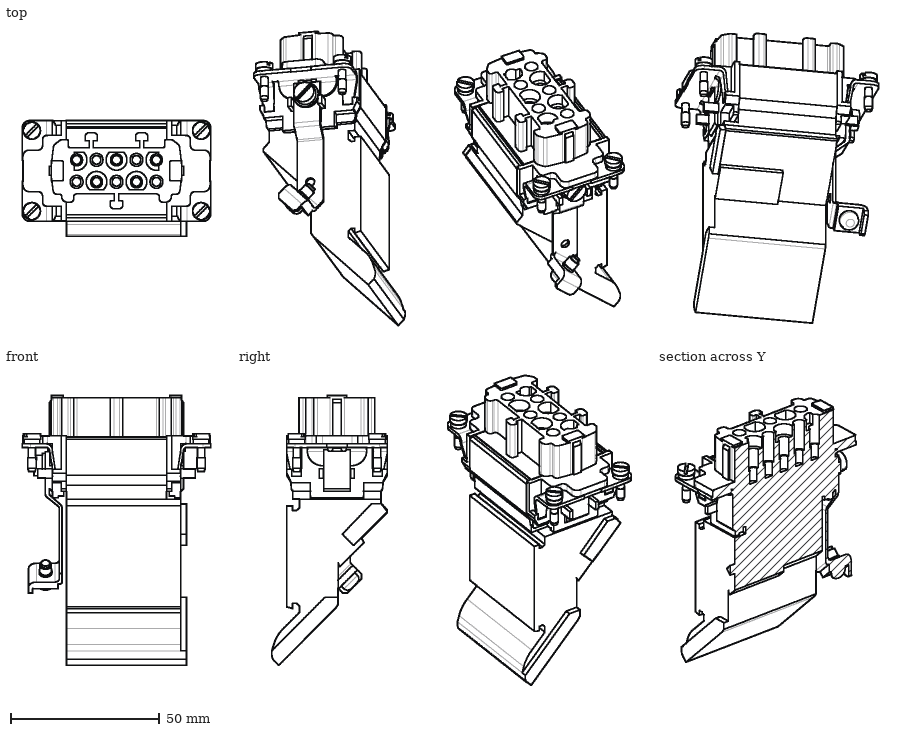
import cadquery as cq
import math


overall_length = 63.6
overall_width = 39.04
overall_height = 90.91
body_width = 34.0
top_z = 13.65
bottom_z = top_z - overall_height
half_length = overall_length / 2
half_width = body_width / 2

join_overlap = 1.0

insert_top = 12.9
insert_end_x = 21.9
insert_shoulder_x = 21.2
insert_flat_y = 7.75
insert_lobe_y = 10.55
insert_end_half_y = 2.5
notch_x = 16.2
insert_flat_x = 18.7
upper_shoulder_y = 8.6
insert_corner_round = 1.6
lower_shoulder_y = 7.9
lobe_outer_x = 18.5
lobe_inner_x = 14.4
tab_length = 4.0
tab_width = 6.7
tab_round = 0.5
end_rib_width = 3.0
end_rib_x = 22.6
end_rib_top = 12.3
end_rib_bevel = 0.7
end_rib_bevel_height = 1.2
t_key_x = 8.5
t_stem_width = 1.46
t_head_width = 4.15
t_head_inner_y = 10.1
t_head_outer_y = 12.8
t_head_round = 1.2
t_head_inner_round = 0.3

contact_pitch = 6.72
contact_row_y = 3.7
small_cavity_diameter = 4.35
large_cavity_diameter = 7.0
large_bore_diameter = 4.0
socket_bore_diameter = 2.92
large_cavity_depth = 4.0
cavity_depth = 11.0
bore_depth = 16.0
cavity_flat_y = 6.3
corner_cavity_flat_x = 14.2

center_half_x = 16.85
wall_half_x = 18.6
frame_half_x = 21.6
frame_half_width = half_width - 0.1
flange_half_x = 31.5
flange_thickness = 2.6
flange_nose_half_y = 7.0
flange_shoulder_x = 24.9
flange_shoulder_y = 12.0
flange_round = 1.5
flange_nose_round = 2.1
bevel_start_z = -13.3
bevel_end_y = 14.9
center_bevel_end_z = -16.6
side_bevel_y = 15.6
side_bevel_start_z = -12.6
side_bevel_end_z = -15.2
side_foot_y = 15.4
side_foot_z = -17.85
side_notch_top_z = -15.7
frame_bottom_z = -18.7
corner_pocket_bottom_z = -13.5
corner_rim_y = 15.3
corner_rim_z = -11.2
end_block_half_y = 9.0
end_block_bottom_z = -20.9
end_block_inner_x = 19.6
seat_chamfer = 0.9
foot_inner_x = 17.75
foot_bottom_z = -20.3
center_top = -0.2
top_step = 0.2
top_step_y = 14.8
rear_step_y = 14.3
rear_step_depth = 0.1
top_bevel_y = 1.2
top_bevel_z = 0.7

hood_end_x = 21.65
hood_plate_end_x = 23.6
hood_shoulder_z = -21.3
hood_groove_y = -12.7
hood_lip_y = -14.9
hood_back_y = 0.35
hood_point_y = -19.6
hood_tip_y = half_width - overall_width
lip_top_y = -21.98
lip_top_z = -72.4
lower_plate_top = -54.3
lip_bottom_y = -21.6
lip_bottom_z = -75.3
cable_tab_start_x = 0.0

bracket_top = -flange_thickness
bracket_thickness = 1.3
bracket_corner = 2.7
bracket_bend_x = 23.9
bracket_fold_x = 22.5
bracket_fold_z = -5.1
bracket_fold_thickness = 0.9
bracket_leg_foot_x = 21.2
bracket_notch_depth = 0.25
bracket_notch_half_y = 3.5
bracket_tongue_round = 5.0
gusset_inner_y = 1.4
gusset_outer_x = 23.2
gusset_width = 1.7
gusset_round = 0.7
gusset_step = 0.2
gusset_bottom = -5.2
bracket_leg_inner_y = 11.9
bracket_leg_bottom = corner_pocket_bottom_z
bracket_tongue_half_y = 10.0
bracket_tongue_bottom = -10.0

screw_x = 28.5
screw_y = 13.55
screw_head_diameter = 5.8
screw_head_top = 0.8
screw_washer_diameter = 5.3
screw_washer_height = 1.5
screw_neck_diameter = 2.5
screw_thread_diameter = 2.8
screw_thread_top = -7.3
screw_bottom = -12.0
screw_tip_height = 1.05
screw_tip_inset = 0.35
slot_width = 0.9
slot_depth = 1.0
slot_angle = 45.0

ear_end_x = 26.6
ear_half_y = 5.9
ear_inner_y = 4.6
ear_top = -11.1
ear_height = 3.1

strap_half_y = 4.5
strap_thickness = 1.0
strap_upper_thickness = 1.45
strap_bend_radius = 1.8
strap_inner_radius = 0.8
strap_upper_x = -24.05
strap_lower_x = -19.3
strap_jog_angle = 45.0
strap_top = -5.3
strap_jog_top = -20.2
strap_jog_bottom = -24.0
strap_left_bottom = -43.0
strap_right_bottom = -46.3
strap_hole_diameter = 3.0
strap_hole_z = -39.4
strap_screw_z = -10.0
strap_washer_diameter = 8.5
strap_washer_thickness = 0.95
strap_head_diameter = 7.0
strap_head_height = 2.8
clamp_center_y = 1.45
clamp_center_z = -46.05
clamp_end_x = -29.65
clamp_bend_radius = 2.6
clamp_lip_depth = 6.3
clamp_rise = 4.0
clamp_tilt = 45.0
clamp_plate_depth = 3.2
clamp_lip_thickness = 1.4
clamp_plate_end_x = -19.7
clamp_lip_chamfer = 1.1
clamp_screw_x = -23.9
clamp_screw_diameter = 4.0
clamp_tip_diameter = 2.92
clamp_screw_length = 4.6
clamp_tip_length = 1.0
clamp_collar_diameter = 4.35
clamp_collar_height = 0.75
clamp_inner_bend_radius = 1.5
clamp_outer_bend_radius = 0.95
clamp_head_diameter = 6.4
clamp_head_height = 3.0
clamp_head_round = 1.8


def box(x0, x1, y0, y1, z0, z1):
    return cq.Workplane("XY").box(x1 - x0, y1 - y0, z1 - z0, centered=False).translate((x0, y0, z0))


def cylinder_z(x, y, z0, z1, diameter):
    return cq.Workplane("XY", origin=(x, y, z0)).circle(diameter / 2).extrude(z1 - z0)


def extrude_yz(sketch_points, x0, x1):
    return cq.Workplane("YZ", origin=(x0, 0, 0)).polyline(sketch_points).close().extrude(x1 - x0)


def both_ends(part):
    return part.union(part.mirror("YZ"))


def four_corners(part):
    return both_ends(part.union(part.mirror("XZ")))


def t_key(x, side):
    stem_reach = (t_head_inner_y + t_head_outer_y) / 2
    stem_length = stem_reach - insert_flat_y + join_overlap
    stem = cq.Workplane("XY").rect(t_stem_width, stem_length).extrude(insert_top + join_overlap)
    stem = stem.translate((x, side * (stem_reach - stem_length / 2), -join_overlap))
    head = cq.Workplane("XY").rect(t_head_width, t_head_outer_y - t_head_inner_y)
    head = head.extrude(insert_top + join_overlap)
    outer_face, inner_face = (">Y", "<Y") if side > 0 else ("<Y", ">Y")
    head = head.edges("|Z").edges(outer_face).fillet(t_head_round)
    head = head.edges("|Z").edges(inner_face).fillet(t_head_inner_round)
    return stem.union(head.translate((x, side * stem_reach, -join_overlap)))


def round_corners(part, corners):
    """Round the vertical edge at each (x, y, radius) corner, skipping sharp ones."""
    for x, y, radius in corners:
        if radius > 0:
            corner = cq.selectors.NearestToPointSelector((x, y, insert_top / 2))
            part = part.edges("|Z").edges(corner).fillet(radius)
    return part


def contact_insert():
    right_corners = [
        (notch_x, insert_flat_y, 0.6), (notch_x, insert_lobe_y, 0.7),
        (insert_flat_x, insert_lobe_y, insert_corner_round),
        (insert_shoulder_x, upper_shoulder_y, insert_corner_round), (insert_end_x, insert_end_half_y, 0),
        (insert_end_x, -insert_end_half_y, 0), (insert_shoulder_x, -lower_shoulder_y, 1.4),
        (lobe_outer_x, -lower_shoulder_y, 0.6), (lobe_outer_x, -insert_lobe_y, 2.0),
        (lobe_inner_x, -insert_lobe_y, 1.2), (lobe_inner_x, -insert_flat_y, 1.0),
    ]
    left_corners = [(-x, y, radius) for x, y, radius in reversed(right_corners)]
    corners = right_corners + left_corners
    outline = [(x, y) for x, y, radius in corners]
    insert = cq.Workplane("XY", origin=(0, 0, -join_overlap)).polyline(outline).close()
    insert = insert.extrude(insert_top + join_overlap)
    insert = round_corners(insert, corners)

    tab = box(insert_end_x - tab_length, insert_end_x, -tab_width / 2, tab_width / 2, insert_top, top_z)
    tab = tab.edges("|Z and <X").fillet(tab_round)
    rib = box(insert_shoulder_x, end_rib_x, -end_rib_width / 2, end_rib_width / 2, 0, end_rib_top)
    rib = rib.edges(">X and >Z").chamfer(end_rib_bevel_height, end_rib_bevel)
    insert = insert.union(both_ends(tab.union(rib)))

    for x, side in ((-t_key_x, 1), (t_key_x, 1), (0, -1)):
        insert = insert.union(t_key(x, side))
    return insert


def large_cavity(column, row):
    x = column * contact_pitch
    y = row * contact_row_y
    floor = insert_top - large_cavity_depth
    cavity = cylinder_z(x, y, floor, insert_top, large_cavity_diameter)
    keep = box(-corner_cavity_flat_x, corner_cavity_flat_x, -cavity_flat_y, cavity_flat_y, floor, insert_top)
    cavity = cavity.intersect(keep)
    cavity = cavity.union(cylinder_z(x, y, insert_top - cavity_depth, insert_top, large_bore_diameter))
    return cavity.union(cylinder_z(x, y, insert_top - bore_depth, insert_top, socket_bore_diameter))


def small_cavity(column, row):
    x = column * contact_pitch
    y = row * contact_row_y
    cavity = cylinder_z(x, y, insert_top - cavity_depth, insert_top, small_cavity_diameter)
    return cavity.union(cylinder_z(x, y, insert_top - bore_depth, insert_top, socket_bore_diameter))


def cut_contacts(part):
    for column in range(-2, 3):
        for row in (-1, 1):
            row_has_large = column % 2 == 0 if row > 0 else column % 2 == 1
            cavity = large_cavity(column, row) if row_has_large else small_cavity(column, row)
            part = part.cut(cavity)
    return part


def flange_end():
    nose = box(wall_half_x, flange_half_x, -flange_nose_half_y, flange_nose_half_y, -flange_thickness, 0)
    nose = nose.edges("|Z and >X").fillet(flange_nose_round)
    shoulder = box(
        wall_half_x, flange_shoulder_x, -flange_shoulder_y, flange_shoulder_y, -flange_thickness, 0
    )
    near_shoulder = cq.selectors.BoxSelector(
        (flange_shoulder_x - join_overlap, -half_width, -half_width),
        (flange_shoulder_x + join_overlap, half_width, half_width),
    )
    return nose.union(shoulder).edges("|Z").edges(near_shoulder).fillet(flange_round)


def plastic_body():
    center_right = [
        (0, center_top), (top_step_y, center_top), (top_step_y, center_top - top_step),
        (half_width - top_bevel_y, center_top - top_step),
        (half_width, center_top - top_step - top_bevel_z), (half_width, bevel_start_z),
        (bevel_end_y, center_bevel_end_z), (bevel_end_y, hood_shoulder_z), (0, hood_shoulder_z),
    ]
    center = extrude_yz(center_right, -center_half_x, center_half_x)
    center = center.union(center.mirror("XZ"))
    rear_step = box(-center_half_x, center_half_x, rear_step_y, top_step_y, center_top - rear_step_depth, 0)
    center = center.cut(rear_step)

    side_right = [
        (0, 0), (frame_half_width, 0), (frame_half_width, side_bevel_start_z),
        (side_bevel_y, side_bevel_end_z), (side_foot_y, side_foot_z),
        (bevel_end_y, frame_bottom_z), (0, frame_bottom_z),
    ]
    frame = extrude_yz(side_right, center_half_x, frame_half_x)
    frame = frame.union(frame.mirror("XZ"))
    pocket = box(wall_half_x, half_length, flange_shoulder_y, half_width, corner_rim_z, 0)
    leg_pocket = box(wall_half_x, half_length, flange_shoulder_y, corner_rim_y, corner_pocket_bottom_z, 0)
    notch = box(wall_half_x, half_length, end_block_half_y, half_width, frame_bottom_z, side_notch_top_z)
    recess = pocket.union(leg_pocket).union(notch)
    frame = frame.cut(recess.union(recess.mirror("XZ")))

    end_block = box(
        end_block_inner_x, frame_half_x, -end_block_half_y, end_block_half_y, end_block_bottom_z, 0
    )
    foot = box(
        foot_inner_x, end_block_inner_x, -end_block_half_y, end_block_half_y, foot_bottom_z, bevel_start_z
    )
    tongue_seat = box(frame_half_x, end_rib_x, -strap_half_y, strap_half_y, frame_bottom_z, 0)
    tongue_seat = tongue_seat.edges(">X and <Z").chamfer(seat_chamfer)
    ends = both_ends(frame.union(end_block).union(foot).union(tongue_seat))
    return center.union(ends).union(both_ends(flange_end()))


def hood_profile():
    back_y = half_width
    front_y = -half_width
    return (
        cq.Workplane("YZ", origin=(-center_half_x, 0, 0))
        .moveTo(bevel_end_y, hood_shoulder_z)
        .lineTo(bevel_end_y, -22.7)
        .lineTo(back_y, -25.0)
        .lineTo(back_y, -25.8)
        .lineTo(hood_back_y, -42.45)
        .lineTo(hood_back_y, -56.8)
        .lineTo(-0.4, -58.0)
        .lineTo(hood_point_y, bottom_z)
        .lineTo(lip_bottom_y, lip_bottom_z)
        .threePointArc((hood_tip_y, -73.3), (lip_top_y, lip_top_z))
        .lineTo(-21.3, -70.2)
        .threePointArc((-20.05, -67.3), (-18.0, -64.8))
        .lineTo(hood_groove_y, -59.5)
        .lineTo(hood_groove_y, -57.3)
        .lineTo(-13.6, -56.4)
        .lineTo(hood_lip_y, -56.4)
        .lineTo(hood_lip_y, -58.2)
        .lineTo(front_y, -57.6)
        .lineTo(front_y, -23.6)
        .lineTo(hood_lip_y, -23.6)
        .lineTo(hood_lip_y, -25.1)
        .lineTo(-13.7, -25.1)
        .lineTo(hood_groove_y, -24.3)
        .lineTo(hood_groove_y, hood_shoulder_z)
        .close()
    )


def hood():
    return hood_profile().extrude(hood_end_x + center_half_x)


def hood_end_plates():
    upper = [
        (bevel_end_y, -22.9), (11.6, -22.9), (1.8, -33.1), (5.6, -36.9), (half_width, -25.5),
    ]
    lower = [
        (2.0, lower_plate_top), (-4.0, lower_plate_top), (lip_top_y, lip_top_z),
        (2 * hood_tip_y, lip_top_z), (2 * hood_tip_y, bottom_z), (2.0, bottom_z),
    ]
    start_x = hood_end_x - join_overlap
    full_profile = hood_profile().extrude(hood_plate_end_x + center_half_x)
    lower_plate = extrude_yz(lower, start_x, hood_plate_end_x).intersect(full_profile)
    return extrude_yz(upper, start_x, hood_plate_end_x).union(lower_plate)


def hood_cable_tab():
    tab = [(8.25, -34.4), (9.15, -35.9), (1.0, -44.0), (0.0, -42.0)]
    return extrude_yz(tab, cable_tab_start_x, hood_end_x)


def bracket_bend(foot_outer_x, foot_z):
    """Sheet bent down from the bracket plate to a foot, over the full body width."""
    plate_bottom = bracket_top - bracket_thickness
    side = (
        cq.Workplane("XZ", origin=(0, half_width, 0))
        .moveTo(bracket_bend_x, bracket_top)
        .lineTo(bracket_bend_x, plate_bottom)
        .threePointArc((22.95, -4.2), (bracket_fold_x, bracket_fold_z))
        .lineTo(foot_outer_x, foot_z)
        .lineTo(foot_outer_x - bracket_fold_thickness, foot_z)
        .lineTo(bracket_fold_x - bracket_fold_thickness, bracket_fold_z)
        .threePointArc((22.4, -3.1), (bracket_bend_x, bracket_top))
        .close()
    )
    return side.extrude(body_width)


def bracket():
    plate = box(bracket_bend_x, half_length, -half_width, half_width,
                bracket_top - bracket_thickness, bracket_top)
    plate = plate.edges("|Z and >X").fillet(bracket_corner)
    plate = plate.cut(
        box(half_length - bracket_notch_depth, half_length, -bracket_notch_half_y, bracket_notch_half_y,
            bracket_top - bracket_thickness, bracket_top)
    )

    leg_outline = extrude_yz(
        [
            (bracket_leg_inner_y, bracket_top), (half_width, bracket_top), (half_width, -5.5),
            (corner_rim_y, bracket_leg_bottom), (bracket_leg_inner_y, bracket_leg_bottom),
        ],
        wall_half_x, half_length,
    )
    leg = bracket_bend(bracket_leg_foot_x, bracket_leg_bottom).intersect(leg_outline)

    tongue_outline = box(wall_half_x, half_length, -bracket_tongue_half_y, bracket_tongue_half_y,
                         bracket_tongue_bottom, bracket_top)
    tongue_outline = tongue_outline.edges("|X and <Z").fillet(bracket_tongue_round)
    tongue = bracket_bend(bracket_fold_x, bracket_tongue_bottom).intersect(tongue_outline)

    gusset_inner_x = bracket_fold_x - bracket_fold_thickness
    gusset = box(gusset_inner_x, gusset_outer_x, gusset_inner_y, gusset_inner_y + gusset_width,
                 gusset_bottom, bracket_top)
    gusset = gusset.edges("|X and <Z").fillet(gusset_round)
    web = box(gusset_inner_x, gusset_outer_x - gusset_step, 0, gusset_inner_y, gusset_bottom, bracket_top)
    half = leg.union(gusset).union(web)
    return plate.union(tongue).union(half).union(half.mirror("XZ"))


def cut_slot(screw_head, plane, diameter):
    slot = cq.Workplane(plane).transformed(rotate=(0, 0, slot_angle))
    slot = slot.rect(2 * diameter, slot_width).extrude(-slot_depth)
    return screw_head.cut(slot)


def corner_screw(x, y):
    head_bottom = bracket_top + screw_washer_height
    head = cylinder_z(x, y, head_bottom, screw_head_top, screw_head_diameter)
    head = cut_slot(head, cq.Plane((x, y, screw_head_top)), screw_head_diameter)
    washer = cylinder_z(x, y, bracket_top, head_bottom, screw_washer_diameter)
    neck = cylinder_z(x, y, screw_thread_top, bracket_top, screw_neck_diameter)
    thread = cylinder_z(x, y, screw_bottom, screw_thread_top, screw_thread_diameter)
    thread = thread.faces("<Z").chamfer(screw_tip_height, screw_tip_inset)
    return head.union(washer).union(neck).union(thread)


def retaining_ears():
    return four_corners(
        box(frame_half_x, ear_end_x, ear_inner_y, ear_half_y, ear_top - ear_height, ear_top)
    )


def strap():
    bend = strap_thickness * math.tan(math.radians(strap_jog_angle / 2))
    upper_in = strap_upper_x + strap_upper_thickness
    lower_in = strap_lower_x + strap_thickness
    profile = [
        (strap_upper_x, strap_top), (upper_in, strap_top), (upper_in, strap_jog_top + bend),
        (lower_in, strap_jog_bottom + bend), (lower_in, strap_right_bottom),
        (strap_lower_x, strap_right_bottom), (strap_lower_x, strap_jog_bottom),
        (strap_upper_x, strap_jog_top),
    ]
    band = cq.Workplane("XZ", origin=(0, strap_half_y, 0)).polyline(profile).close()
    band = band.extrude(2 * strap_half_y)
    jog_corners = [
        (strap_upper_x, strap_jog_top, strap_bend_radius),
        (lower_in, strap_jog_bottom + bend, strap_bend_radius),
        (upper_in, strap_jog_top + bend, strap_inner_radius),
        (strap_lower_x, strap_jog_bottom, strap_inner_radius),
    ]
    for x, z, radius in jog_corners:
        corner = cq.selectors.NearestToPointSelector((x, 0, z))
        band = band.edges("|Y").edges(corner).fillet(radius)
    below_end = extrude_yz(
        [
            (strap_half_y, strap_left_bottom), (-strap_half_y, strap_right_bottom),
            (strap_half_y, strap_right_bottom),
        ],
        -half_length, 0,
    )
    hole = cq.Workplane("YZ", origin=(-half_length, 0, strap_hole_z)).circle(strap_hole_diameter / 2)
    hole = hole.extrude(half_length - center_half_x)
    return band.cut(below_end).cut(hole)


def strap_screw():
    def disc(x0, x1, diameter):
        return cq.Workplane("YZ", origin=(x0, 0, strap_screw_z)).circle(diameter / 2).extrude(x1 - x0)

    washer_x = strap_upper_x - strap_washer_thickness
    head_x = washer_x - strap_head_height
    head = disc(head_x, washer_x, strap_head_diameter)
    slot_plane = cq.Plane((head_x, 0, strap_screw_z), xDir=(0, -1, 0), normal=(-1, 0, 0))
    head = cut_slot(head, slot_plane, strap_head_diameter)
    shank = disc(strap_upper_x, -wall_half_x, screw_neck_diameter)
    return head.union(disc(washer_x, strap_upper_x, strap_washer_diameter)).union(shank)


def cable_clamp():
    outer_x = strap_lower_x + strap_thickness
    profile = [
        (outer_x, clamp_rise), (strap_lower_x, clamp_rise), (strap_lower_x, 0), (clamp_end_x, 0),
        (clamp_end_x, -clamp_lip_depth), (clamp_end_x + clamp_lip_thickness, -clamp_lip_depth),
        (clamp_end_x + clamp_lip_thickness, -clamp_plate_depth), (clamp_plate_end_x, -clamp_plate_depth),
        (clamp_plate_end_x, -strap_thickness), (outer_x, -strap_thickness),
    ]
    clamp = cq.Workplane("XZ", origin=(0, strap_half_y, 0)).polyline(profile).close()
    clamp = clamp.extrude(2 * strap_half_y)
    top_bend = cq.selectors.NearestToPointSelector((clamp_end_x, 0, 0))
    inner_bend = cq.selectors.NearestToPointSelector((strap_lower_x, 0, 0))
    outer_bend = cq.selectors.NearestToPointSelector((outer_x, 0, -strap_thickness))
    clamp = clamp.edges("|Y").edges(top_bend).fillet(clamp_bend_radius)
    clamp = clamp.edges("|Y").edges(inner_bend).fillet(clamp_inner_bend_radius)
    clamp = clamp.edges("|Y").edges(outer_bend).fillet(clamp_outer_bend_radius)
    clamp = clamp.faces("<Z").edges("|X").chamfer(clamp_lip_chamfer)

    body_top = clamp_screw_length - clamp_tip_length
    screw = cylinder_z(clamp_screw_x, 0, -clamp_plate_depth, body_top, clamp_screw_diameter)
    collar = cylinder_z(clamp_screw_x, 0, -strap_thickness, clamp_collar_height, clamp_collar_diameter)
    head_z = -clamp_plate_depth - clamp_head_height
    head = cylinder_z(clamp_screw_x, 0, head_z, -clamp_plate_depth, clamp_head_diameter)
    head = head.faces("<Z").edges().fillet(clamp_head_round)
    tip = cylinder_z(clamp_screw_x, 0, body_top, clamp_screw_length, clamp_tip_diameter)
    clamp = clamp.union(screw).union(collar).union(tip).union(head)
    clamp = clamp.rotate((0, 0, 0), (1, 0, 0), clamp_tilt)
    return clamp.translate((0, clamp_center_y, clamp_center_z))


def build():
    part = plastic_body().union(contact_insert())
    part = cut_contacts(part)
    part = part.union(hood()).union(hood_end_plates()).union(hood_cable_tab())
    part = part.union(both_ends(bracket()))
    for x in (-screw_x, screw_x):
        for y in (-screw_y, screw_y):
            part = part.union(corner_screw(x, y))
    part = part.union(retaining_ears())
    return part.union(strap()).union(strap_screw()).union(cable_clamp())


result = build()